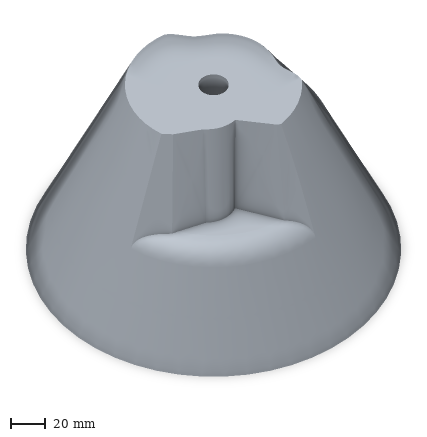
import cadquery as cq
import math

height = 130.0
base_radius = 108.8
top_radius = 51.4
bore_diameter = 17.6

hollow_bottom = 91.4
hollow_left_angle = math.radians(161.0)
hollow_right_angle = math.radians(41.5)

pocket_floor = 71.8
pocket_rim_fillet = 17.5

flank_angle = math.atan2(height, base_radius - top_radius)

cutter_radius = 130.5


def cone_radius(z):
    return base_radius + (top_radius - base_radius) * z / height


def polar(radius, angle):
    return (radius * math.cos(angle), radius * math.sin(angle))


def ruled_loft(lower_wire, upper_wire):
    return cq.Workplane(cq.Solid.makeLoft([lower_wire, upper_wire], True))


def at_height(points, z):
    return [cq.Vector(x, y, z) for x, y in points]


def arc_about_axis(radius, start_angle, end_angle, z):
    angles = (start_angle, (start_angle + end_angle) / 2, end_angle)
    return cq.Edge.makeThreePointArc(*at_height([polar(radius, angle) for angle in angles], z))


def back_hollows():
    """Cutter between the wavy top outline and the full cone circle where the hollows fade out."""
    outline = [
        polar(top_radius, hollow_left_angle),
        (-46.3, 19.0),
        (-34.0, 26.0),
        (-25.5, 35.0),
        (-3.5, 44.4),
        (14.1, 39.5),
        (19.8, 36.8),
        (35.5, 35.5),
        polar(top_radius, hollow_right_angle),
    ]

    def section(inner_edge, z):
        outer_edge = arc_about_axis(cutter_radius, hollow_right_angle, hollow_left_angle, z)
        right_side = cq.Edge.makeLine(inner_edge.endPoint(), outer_edge.startPoint())
        left_side = cq.Edge.makeLine(outer_edge.endPoint(), inner_edge.startPoint())
        return cq.Wire.assembleEdges([inner_edge, right_side, outer_edge, left_side])

    wavy_edge = cq.Edge.makeSpline(at_height(outline, height))
    faded_radius = cone_radius(hollow_bottom)
    faded_edge = arc_about_axis(faded_radius, hollow_left_angle, hollow_right_angle, hollow_bottom)
    return ruled_loft(section(faded_edge, hollow_bottom), section(wavy_edge, height))


def front_pocket():
    """Cutter with slanted side walls and a rounded inner wall, open to the outside."""
    outer_corner = (98.0, -98.0)

    def section(wall, z):
        """Right wall (2 points), inner wall (3 points on an arc), left wall (2 points)."""
        right_end, right_start, *inner_wall, left_start, left_end = at_height(wall, z)
        corner = at_height([outer_corner], z)[0]
        return cq.Wire.assembleEdges([
            cq.Edge.makeLine(right_end, right_start),
            cq.Edge.makeLine(right_start, inner_wall[0]),
            cq.Edge.makeThreePointArc(*inner_wall),
            cq.Edge.makeLine(inner_wall[2], left_start),
            cq.Edge.makeLine(left_start, left_end),
            cq.Edge.makeLine(left_end, corner),
            cq.Edge.makeLine(corner, right_end),
        ])

    rim_wall = [
        (100.0, 5.5), (67.5, -19.5), (37.0, -28.3), (38.0, -37.6), (31.8, -48.5), (21.8, -68.5), (0.0, -82.7),
    ]
    top_wall = [
        (71.8, 20.2), (49.6, -4.8), (28.0, -16.0), (26.0, -25.0), (18.3, -33.5), (6.7, -47.7), (-27.2, -69.6),
    ]
    core = cq.Workplane(cq.Solid.makeCone(base_radius, cone_radius(pocket_floor), pocket_floor))
    core = core.faces(">Z").edges().fillet(pocket_rim_fillet)
    rim_bottom = pocket_floor - pocket_rim_fillet * (1 - math.cos(flank_angle))
    cutter = ruled_loft(section(rim_wall, rim_bottom), section(top_wall, height))
    return cutter.cut(core)


cone = cq.Workplane(cq.Solid.makeCone(base_radius, top_radius, height))
body = cone.cut(back_hollows()).cut(front_pocket())

bore = cq.Workplane("XY").circle(bore_diameter / 2).extrude(height)
result = body.cut(bore)